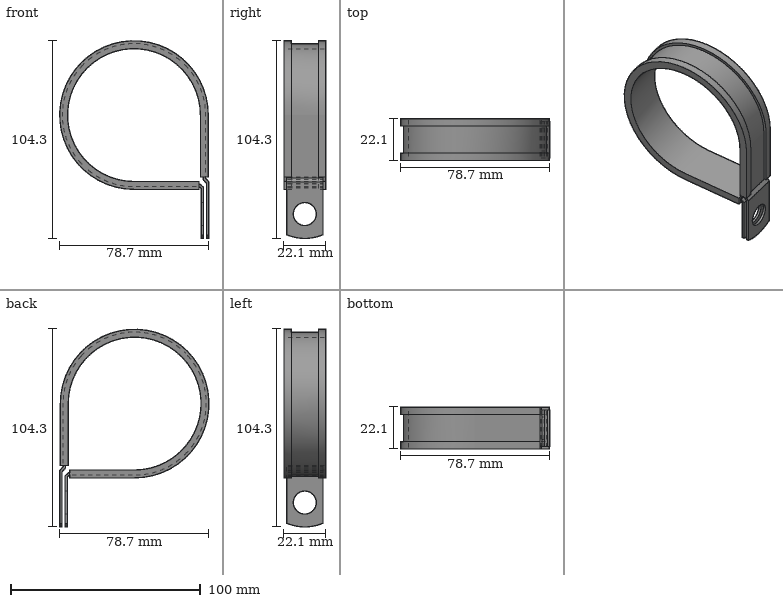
import cadquery as cq
import math

outer_radius = 39.2
cushion_thickness = 4.3
cushion_width = 22.1
side_leg_end = -32.7
bottom_leg_end = 34.3

groove_width = 14.2
groove_depth = 1.5

strap_thickness = 1.4
strap_width = 19.3
strap_outer_radius = outer_radius - groove_depth
strap_inner_radius = strap_outer_radius - strap_thickness
embedded_length = 2.1

tab_gap = 1.5
outer_tab_right = 39.5
outer_tab_left = outer_tab_right - strap_thickness
inner_tab_right = outer_tab_left - tab_gap
inner_tab_left = inner_tab_right - strap_thickness
tab_bottom = -65.1
tab_end_sag = 2.0

jog_drop = 2.0
jog_right_start = -33.3
jog_left_start = -34.0
elbow_top_start = 34.8
elbow_top_end = -38.1
elbow_bottom_end = -38.5

hole_diameter = 12.0
hole_height = -52.1


def extrude_centered(sketch, width):
    """Extrude an XZ outline symmetrically about Y = 0."""
    return sketch.extrude(width / 2, both=True)


def loop_band(inner_radius, outside_radius, width):
    """Band following the ring and both of its legs."""
    diagonal = math.sqrt(0.5)
    outline = (
        cq.Workplane("XZ")
        .moveTo(outside_radius, side_leg_end)
        .lineTo(outside_radius, 0)
        .threePointArc((-outside_radius * diagonal, outside_radius * diagonal), (0, -outside_radius))
        .lineTo(bottom_leg_end, -outside_radius)
        .lineTo(bottom_leg_end, -inner_radius)
        .lineTo(0, -inner_radius)
        .threePointArc((-inner_radius * diagonal, inner_radius * diagonal), (inner_radius, 0))
        .lineTo(inner_radius, side_leg_end)
        .close()
    )
    return extrude_centered(outline, width)


def outer_tab():
    """Tab below the vertical leg, jogged outwards."""
    outline = cq.Workplane("XZ").polyline([
        (strap_inner_radius, side_leg_end + embedded_length),
        (strap_outer_radius, side_leg_end + embedded_length),
        (strap_outer_radius, jog_right_start),
        (outer_tab_right, jog_right_start - jog_drop),
        (outer_tab_right, tab_bottom),
        (outer_tab_left, tab_bottom),
        (outer_tab_left, jog_left_start - jog_drop),
        (strap_inner_radius, jog_left_start),
    ]).close()
    return extrude_centered(outline, strap_width)


def inner_tab():
    """Tab bent down from the end of the horizontal leg."""
    outline = cq.Workplane("XZ").polyline([
        (bottom_leg_end - embedded_length, -strap_inner_radius),
        (elbow_top_start, -strap_inner_radius),
        (inner_tab_right, elbow_top_end),
        (inner_tab_right, tab_bottom),
        (inner_tab_left, tab_bottom),
        (inner_tab_left, elbow_bottom_end),
        (bottom_leg_end, -strap_outer_radius),
        (bottom_leg_end - embedded_length, -strap_outer_radius),
    ]).close()
    return extrude_centered(outline, strap_width)


def tab_envelope():
    """Rounded lower outline shared by both tabs, extruded along X."""
    half_width = strap_width / 2
    corner_height = tab_bottom + tab_end_sag
    return (
        cq.Workplane("YZ")
        .moveTo(-half_width, 0)
        .lineTo(-half_width, corner_height)
        .threePointArc((0, tab_bottom), (half_width, corner_height))
        .lineTo(half_width, 0)
        .close()
        .extrude(outer_tab_right)
    )


def mounting_hole():
    """Bolt hole through both tabs."""
    return (
        cq.Workplane("YZ")
        .center(0, hole_height)
        .circle(hole_diameter / 2)
        .extrude(outer_tab_right)
    )


cushion = loop_band(outer_radius - cushion_thickness, outer_radius, cushion_width)
groove = loop_band(strap_outer_radius, outer_radius, groove_width)
tabs = outer_tab().union(inner_tab()).intersect(tab_envelope()).cut(mounting_hole())

result = cushion.cut(groove).union(tabs)